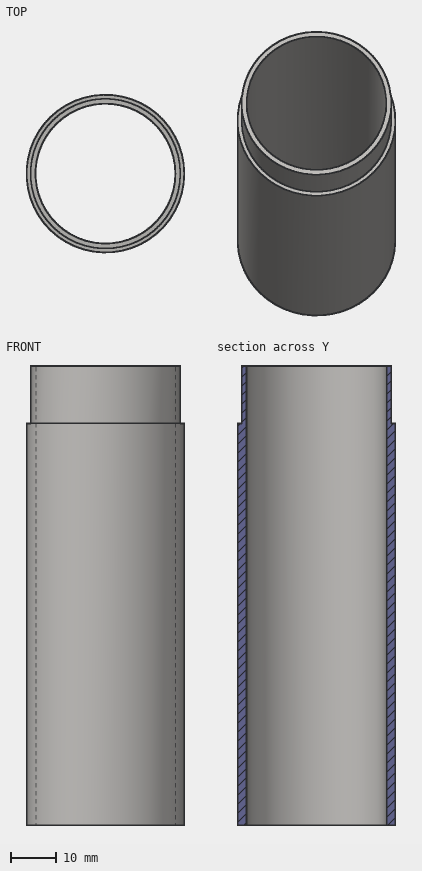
import cadquery as cq

outer_diameter = 34.925
total_length = 101.6
bore_diameter = 30.885

spigot_diameter = 33.12
spigot_length = 12.7

body_length = total_length - spigot_length


def make_body():
    """Full-diameter cylinder standing on the XY plane."""
    return cq.Workplane("XY").circle(outer_diameter / 2).extrude(body_length)


def add_spigot(body):
    """Narrower cylinder on top of the body, leaving a small shoulder."""
    return body.faces(">Z").workplane().circle(spigot_diameter / 2).extrude(spigot_length)


def cut_bore(body):
    """Straight bore through the whole length."""
    bore = cq.Workplane("XY").circle(bore_diameter / 2).extrude(total_length)
    return body.cut(bore)


result = cut_bore(add_spigot(make_body()))